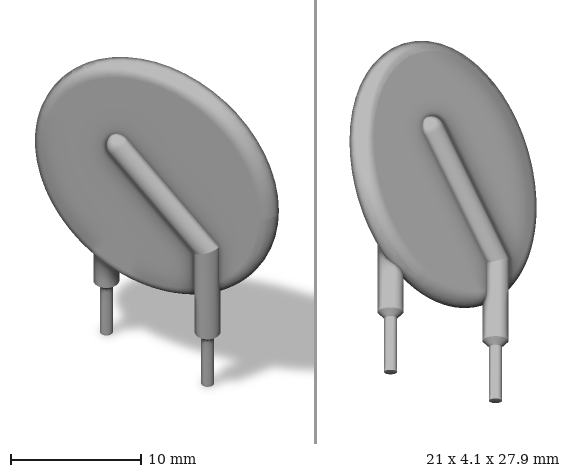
import cadquery as cq
import math

disc_diameter = 21.0
disc_thickness = 2.1
rim_radius = 1.0

coating_diameter = 2.0
pin_diameter = 1.0
lead_offset_x = 5.0
lead_offset_y = disc_thickness / 2
tip_offset_x = 2.68
tip_z = 2.68
front_bend_z = -4.45
back_bend_z = -5.97
coating_end_z = -12.47
taper_height = 0.5
pin_end_z = disc_diameter / 2 - 27.9

coating_radius = coating_diameter / 2
pin_radius = pin_diameter / 2


def make_disc():
    """Round disc with both rims rounded over."""
    disc = cq.Workplane("XZ").circle(disc_diameter / 2).extrude(disc_thickness / 2, both=True)
    return disc.faces("<Y or >Y").edges().fillet(rim_radius)


def make_coating(side, bend_z):
    """Coated wire with a mitred bend and a domed tip; side is +1 for +X, -1 for -X."""
    y = -side * lead_offset_y
    path = (
        cq.Workplane("XZ", origin=(0, y, 0))
        .moveTo(side * lead_offset_x, coating_end_z)
        .lineTo(side * lead_offset_x, bend_z)
        .lineTo(-side * tip_offset_x, tip_z)
    )
    wire = (
        cq.Workplane("XY", origin=(side * lead_offset_x, y, coating_end_z))
        .circle(coating_radius)
        .sweep(path, transition="right")
    )
    run = side * (lead_offset_x + tip_offset_x)
    rise = tip_z - bend_z
    tip_plane = cq.Plane(origin=(-side * tip_offset_x, y, tip_z), xDir=(0, 1, 0), normal=(rise, 0, run))
    dome_mid = coating_radius * math.sqrt(0.5)
    dome = (
        cq.Workplane(tip_plane)
        .lineTo(coating_radius, 0)
        .threePointArc((dome_mid, dome_mid), (0, coating_radius))
        .close()
        .revolve(360, (0, 0, 0), (0, 1, 0))
    )
    return wire.union(dome)


def make_pin(side):
    """Bare pin below the coating, with the taper that joins them."""
    taper_end_z = coating_end_z - taper_height
    profile = [
        (0, coating_end_z),
        (coating_radius, coating_end_z),
        (pin_radius, taper_end_z),
        (pin_radius, pin_end_z),
        (0, pin_end_z),
    ]
    pin = cq.Workplane("XZ").polyline(profile).close().revolve(360, (0, 0, 0), (0, 1, 0))
    return pin.translate((side * lead_offset_x, -side * lead_offset_y, 0))


result = make_disc()
for side, bend_z in ((1, front_bend_z), (-1, back_bend_z)):
    result = result.union(make_coating(side, bend_z)).union(make_pin(side))